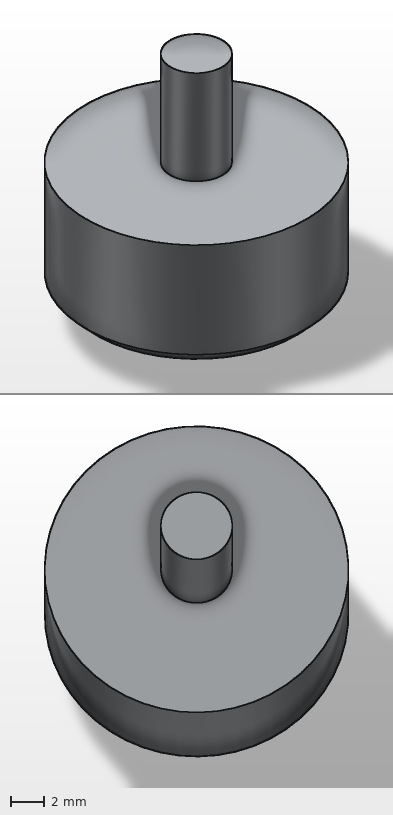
import cadquery as cq

total_height = 19.1
body_diameter = 18.3
pin_diameter = 4.3
pin_height = 7.8
chamfer_width = 0.92
chamfer_height = 0.92
tip_height = 2.5

body_radius = body_diameter / 2
pin_radius = pin_diameter / 2
tip_radius = body_radius - chamfer_width
body_bottom = tip_height + chamfer_height
body_top = total_height - pin_height

half_profile = (
    cq.Workplane("XZ")
    .moveTo(0, 0)
    .lineTo(tip_radius, tip_height)
    .lineTo(body_radius, body_bottom)
    .lineTo(body_radius, body_top)
    .lineTo(pin_radius, body_top)
    .lineTo(pin_radius, total_height)
    .lineTo(0, total_height)
    .close()
)

result = half_profile.revolve(360, (0, 0, 0), (0, 1, 0))